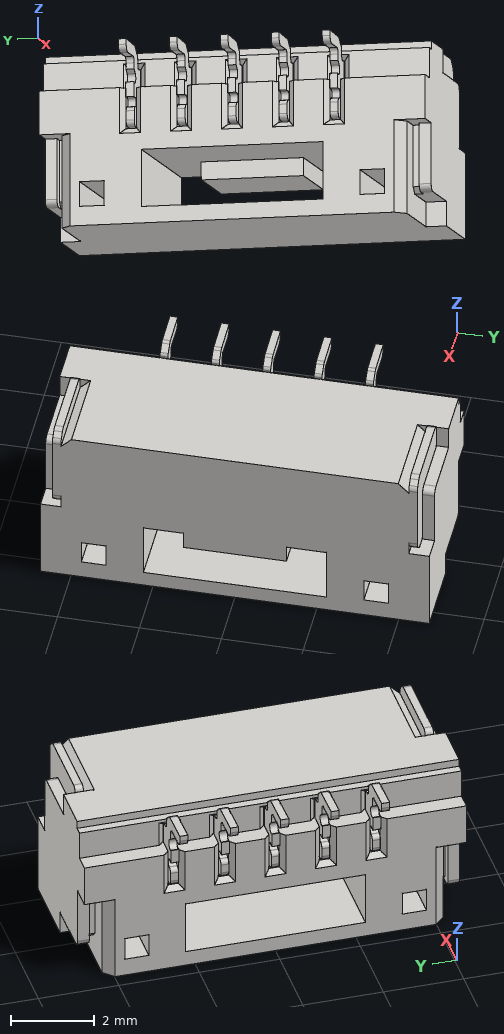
import cadquery as cq


depth = 4.06
length = 9.5
height = 4.24
half_length = length / 2
shelf_x = 0.43
shelf_z = 3.31
lip_x = 0.64
lip_z = 4.04
contact_top = 4.35

window_width = 4.465
window_bottom = 0.4
window_top = 1.79
key_width = 2.52
key_drop = 0.44
key_start = depth / 2
hole_size = 0.6
hole_bottom = 0.47
hole_offset = 3.45

recess_depth = 0.5
recess_bevel = 0.26
flap_thickness = 0.29
upper_x = 1.81
upper_z = 3.66
upper_leg_x = 3.46
upper_leg_z = 2.1
lower_x = 2.14
lower_z = 0.6
lower_leg_x = 0.61
lower_leg_z = 2.24
corner_radius = 0.17
slot_set_back = 0.25
slot_bevel = 0.15
tab_end_radius = 0.13
tab_bevel = 0.23
tab_bevel_radius = 0.19
tab_clearance = 0.03

pin_count = 5
pin_pitch = 1.25
pin_width = 0.2
pin_overhang = 0.8
pin_back = 0.62
pin_foot = 2.37
pin_foot_radius = 0.14
pin_face = 0.01
pin_bulge = 0.04
pin_wall_z = 3.82
pin_tip_radius = 0.17
slot_width = 0.52
slot_bottom = 2.19
slot_top = 3.95
slot_taper = 0.13
channel_width = slot_width - 2 * slot_taper


def box(x0, x1, y0, y1, z0, z1):
    """Block between two opposite corners."""
    return cq.Workplane("XY").box(x1 - x0, y1 - y0, z1 - z0, centered=False).translate((x0, y0, z0))


def plate(outline, y0, y1):
    """Extrude a closed XZ outline from y0 to y1."""
    return outline.extrude(y0 - y1).translate((0, y0, 0))


def both_ends(solid):
    """A solid at the -Y end together with its mirror image at the +Y end."""
    return solid.union(solid.mirror("XZ"))


def make_housing():
    """Housing block with the shelf and the lip stepped out of its upper front edge."""
    outline = (
        cq.Workplane("XZ")
        .polyline([
            (0, 0), (depth, 0), (depth, height), (lip_x, height), (lip_x, lip_z),
            (shelf_x, lip_z), (shelf_x, shelf_z), (0, shelf_z),
        ])
        .close()
    )
    return plate(outline, -half_length, half_length)


def make_openings():
    """Keyed window and the square hole on either side of it."""
    half_window = window_width / 2
    window = box(0, depth, -half_window, half_window, window_bottom, window_top)
    key = box(key_start, depth, -key_width / 2, key_width / 2, window_top - key_drop, window_top)
    hole = box(
        0, depth,
        -hole_offset - hole_size / 2, -hole_offset + hole_size / 2,
        hole_bottom, hole_bottom + hole_size,
    )
    return window.cut(key).union(both_ends(hole))


def upper_recess():
    """L-shaped recess at the top of the -Y end, with a bevel along the top face."""
    outline = (
        cq.Workplane("XZ")
        .moveTo(upper_x, height)
        .lineTo(upper_x, upper_z)
        .lineTo(upper_leg_x - corner_radius, upper_z)
        .radiusArc((upper_leg_x, upper_z - corner_radius), corner_radius)
        .lineTo(upper_leg_x, upper_leg_z)
        .lineTo(depth, upper_leg_z)
        .lineTo(depth, height)
        .close()
    )
    inner = -half_length + recess_depth
    bevel = (
        cq.Workplane("YZ")
        .polyline([(inner, height), (inner + recess_bevel, height), (inner, height - recess_bevel)])
        .close()
        .extrude(depth - upper_x)
        .translate((upper_x, 0, 0))
    )
    return plate(outline, -half_length, inner).union(bevel)


def lower_recess():
    """L-shaped recess at the bottom of the -Y end, with a bevel along the -X face."""
    outline = (
        cq.Workplane("XZ")
        .lineTo(lower_x, 0)
        .lineTo(lower_x, lower_z)
        .lineTo(lower_leg_x + corner_radius, lower_z)
        .radiusArc((lower_leg_x, lower_z + corner_radius), corner_radius)
        .lineTo(lower_leg_x, lower_leg_z)
        .lineTo(0, lower_leg_z)
        .close()
    )
    inner = -half_length + recess_depth
    slot_x = lower_leg_x + slot_set_back
    slot = (
        cq.Workplane("XZ")
        .polyline([
            (0, lower_z), (slot_x + slot_bevel, lower_z), (slot_x, lower_z + slot_bevel),
            (slot_x, lower_leg_z), (0, lower_leg_z),
        ])
        .close()
    )
    bevel = (
        cq.Workplane("XY")
        .polyline([(0, inner), (recess_bevel, inner), (0, inner + recess_bevel)])
        .close()
        .extrude(lower_leg_z)
    )
    return (
        plate(outline, -half_length, inner)
        .union(plate(slot, -half_length + flap_thickness, inner))
        .union(bevel)
    )


def make_tab():
    """Solder tab of the -Y end: an L-shaped plate seated on the end wall."""
    tab_x = upper_x + tab_clearance
    tab_bottom = upper_leg_z + tab_clearance
    outline = (
        cq.Workplane("XZ")
        .moveTo(tab_x, upper_z)
        .lineTo(tab_x, contact_top - tab_end_radius)
        .radiusArc((tab_x + tab_end_radius, contact_top), tab_end_radius)
        .lineTo(depth, contact_top)
        .lineTo(depth, tab_bottom)
        .lineTo(upper_leg_x, tab_bottom)
        .lineTo(upper_leg_x, upper_z - corner_radius)
        .radiusArc((upper_leg_x - corner_radius, upper_z), -corner_radius)
        .close()
    )
    tab = plate(outline, -half_length + flap_thickness, -half_length + recess_depth)
    bevelled = tab.edges("|Y").edges(">X").chamfer(tab_bevel)
    bevel_edges = cq.selectors.BoxSelector(
        (depth - 2 * tab_bevel, -length, 0), (2 * depth, length, 2 * height)
    )
    return bevelled.edges("|Y").edges(bevel_edges).fillet(tab_bevel_radius)


def tapered_mouth(face_x):
    """Funnel narrowing from a pin slot's mouth at face_x to its channel."""
    return (
        cq.Workplane("YZ")
        .workplane(offset=face_x)
        .center(0, (slot_bottom + slot_top) / 2)
        .rect(slot_width, slot_top - slot_bottom)
        .workplane(offset=slot_taper)
        .rect(channel_width, slot_top - slot_bottom - 2 * slot_taper)
        .loft(ruled=True)
    )


def pin_slot():
    """Pin slot opening on both the front face and the wall above the shelf."""
    half_channel = channel_width / 2
    channel = box(
        0, pin_back, -half_channel, half_channel, slot_bottom + slot_taper, slot_top - slot_taper
    )
    above_shelf = box(0, depth, -slot_width, slot_width, shelf_z, height)
    upper_mouth = tapered_mouth(shelf_x).intersect(above_shelf)
    return channel.union(tapered_mouth(0)).union(upper_mouth)


def make_pin():
    """Bent pin: solder foot, two notches down its front edge and a rounded bottom."""
    outline = (
        cq.Workplane("XZ")
        .moveTo(-pin_overhang, contact_top)
        .lineTo(0.07, 4.32)
        .radiusArc((0.15, 4.28), 0.14)
        .lineTo(0.32, 4.13)
        .radiusArc((0.36, 4.05), 0.14)
        .lineTo(0.36, 3.93)
        .radiusArc((shelf_x, pin_wall_z), -0.13)
        .lineTo(pin_back, pin_wall_z)
        .lineTo(pin_back, pin_foot)
        .lineTo(pin_face + pin_foot_radius, pin_foot)
        .radiusArc((pin_face, pin_foot + pin_foot_radius), pin_foot_radius)
        .lineTo(pin_face, 2.74)
        .radiusArc((0.12, 2.85), 0.11)
        .threePointArc((0.21, 2.95), (0.12, 3.07))
        .lineTo(-pin_bulge, 3.07)
        .lineTo(-pin_bulge, 3.43)
        .lineTo(0.02, 3.4)
        .threePointArc((0.16, 3.515), (0.11, 3.65))
        .lineTo(0, 3.74)
        .lineTo(0, 3.895)
        .radiusArc((-0.095, lip_z), -0.14)
        .lineTo(pin_tip_radius - pin_overhang, lip_z)
        .radiusArc((-pin_overhang, lip_z + pin_tip_radius), pin_tip_radius)
        .close()
    )
    return plate(outline, -pin_width / 2, pin_width / 2)


result = (
    make_housing()
    .cut(make_openings())
    .cut(both_ends(upper_recess()))
    .cut(both_ends(lower_recess()))
    .union(both_ends(make_tab()))
)
slot = pin_slot()
pin = make_pin()
for index in range(pin_count):
    pin_place = (0, (index - (pin_count - 1) / 2) * pin_pitch, 0)
    result = result.cut(slot.translate(pin_place)).union(pin.translate(pin_place))